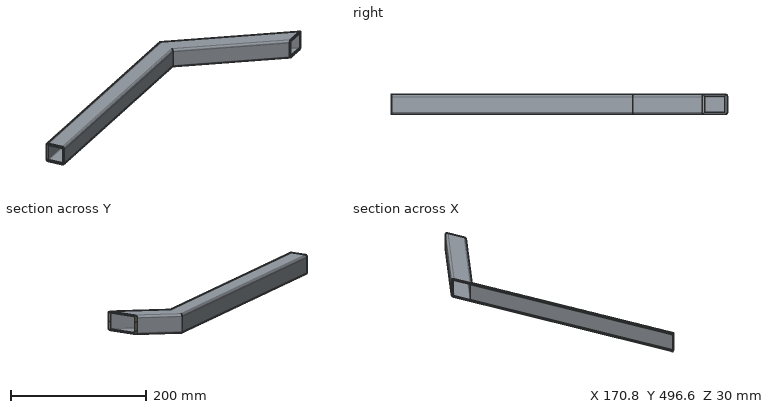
import cadquery as cq
import math

tube_size = 30.0
wall = 3.0
bore_size = tube_size - 2 * wall
outer_corner_radius = 3.5
inner_corner_radius = outer_corner_radius - wall

overall_width = 170.76
overall_length = 496.59
arm_angle = math.radians(36.2)

arm_rise = overall_width * math.tan(arm_angle)
outer_leg_length = overall_length - arm_rise

half_turn = (math.pi / 2 - arm_angle) / 2
leg_length = outer_leg_length - tube_size / 2 * math.tan(half_turn)

end_cut_x = overall_width - tube_size / 2
overrun = tube_size


def bent_bar(size, corner_radius):
    """Solid rounded square bar with a mitred bend, running past the end cut."""
    arm_run = end_cut_x + overrun
    arm_end = (arm_run, leg_length + arm_run * math.tan(arm_angle))
    centre_line = cq.Workplane("XY").polyline([(0, 0), (0, leg_length), arm_end])
    section = cq.Sketch().rect(size, size).vertices().fillet(corner_radius)
    return cq.Workplane("XZ").placeSketch(section).sweep(centre_line, transition="right")


def beyond_end_cut():
    """Block whose -X face is the end cut and which holds all of the overrun."""
    block_size = 2 * overall_length
    return (
        cq.Workplane("YZ", origin=(end_cut_x, overall_length, 0))
        .rect(block_size, block_size)
        .extrude(block_size)
    )


outer_bar = bent_bar(tube_size, outer_corner_radius)
bore = bent_bar(bore_size, inner_corner_radius)
result = outer_bar.cut(bore).cut(beyond_end_cut())